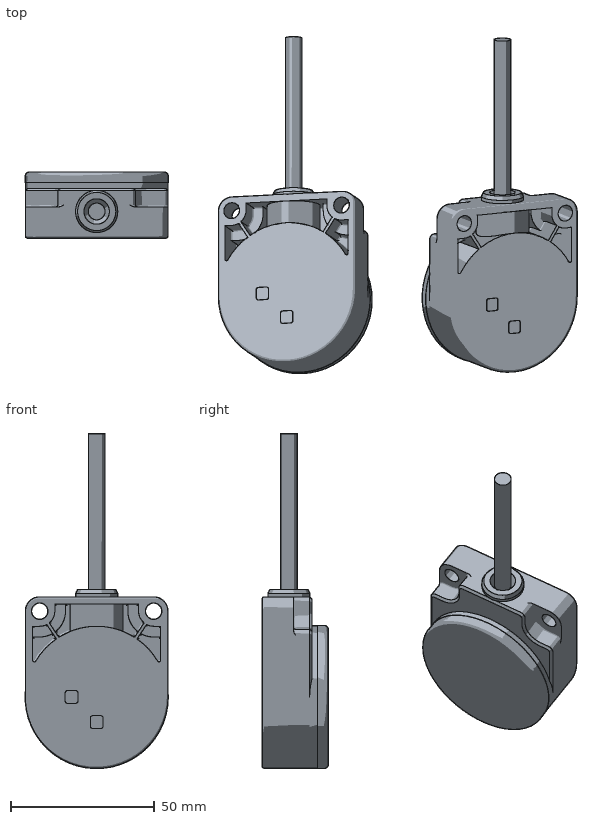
import cadquery as cq
import math

total_height = 116.9
total_depth = 23.1
width = 50.0
body_height = 60.0
body_depth = 17.4
edge_round = 0.8

lid_start = 19.4
lid_radius = width / 2
lid_overhang = 0.1
head_radius = lid_radius - lid_overhang
head_z = lid_radius
lid_edge_round = 1.5

corner_radius = 5.0
hole_x = head_radius - corner_radius
hole_z = body_height - corner_radius
hole_diameter = 5.6

recess_floor = 11.0
recess_radius = 6.3
recess_mouth_round = 2.0
recess_floor_round = 0.6

side_wall = 2.6
hollow_half_width = head_radius - side_wall
hollow_top = body_height - side_wall
hollow_floor = 15.2
hollow_head_radius = 24.7
hollow_bottom = 35.1
hollow_tip_round = 0.6
hollow_round = 0.6
hole_boss_radius = 5.3
recess_wall_radius = 9.0
ledge_depth = 8.8
rib_width = 1.0
socket_radius = 9.2

cable_y = 9.4
cable_radius = 2.9
collar_radius = 7.4
collar_height = 2.6
collar_chamfer_height = 1.4
collar_chamfer_width = 0.7
collar_mouth_radius = 4.4
collar_mouth_depth = 2.3

mark_size = 4.4
mark_corner = 0.8
mark_depth = 0.4
mark_offset = 8.8


def prism(sketch_xz, y_start, y_end):
    """Extrude an XZ outline between two depths."""
    return sketch_xz.extrude(-(y_end - y_start)).translate((0, y_start, 0))


def disc(radius, x, z, y_start, y_end):
    return prism(cq.Workplane("XZ").center(x, z).circle(radius), y_start, y_end)


def block(x_min, x_max, z_min, z_max, y_start, y_end):
    size = (x_max - x_min, y_end - y_start, z_max - z_min)
    return cq.Workplane("XY").box(*size, centered=False).translate((x_min, y_start, z_min))


def corner_block(radius, y_start, y_end):
    """Left top corner zone: everything within a radius of the hole, carried out past both sides."""
    x_out = -2 * head_radius
    z_out = 2 * body_height
    zone = disc(radius, -hole_x, hole_z, y_start, y_end)
    zone = zone.union(block(x_out, -hole_x, hole_z - radius, z_out, y_start, y_end))
    return zone.union(block(x_out, -hole_x + radius, hole_z, z_out, y_start, y_end))


def both_sides(left):
    return left.union(left.mirror("YZ"))


def make_corner_recess():
    """Corner recess whose two mouths flare out to the side and top faces."""
    x_side = -head_radius
    r = recess_mouth_round
    x_inner = -hole_x + recess_radius
    z_lower = hole_z - recess_radius
    outline = (
        cq.Workplane("XZ")
        .moveTo(x_side, z_lower - r)
        .radiusArc((x_side + r, z_lower), r)
        .lineTo(-hole_x, z_lower)
        .radiusArc((x_inner, hole_z), -recess_radius)
        .lineTo(x_inner, body_height - r)
        .radiusArc((x_inner + r, body_height), r)
        .lineTo(x_side, body_height)
        .close()
    )
    recess = prism(outline, recess_floor, body_depth)
    return recess.faces("<Y").edges("not(<X or >Z)").fillet(recess_floor_round)


def make_body():
    outline = (
        cq.Workplane("XZ")
        .moveTo(-head_radius, head_z)
        .threePointArc((0, lid_overhang), (head_radius, head_z))
        .lineTo(head_radius, body_height)
        .lineTo(-head_radius, body_height)
        .close()
    )
    body = prism(outline, 0, body_depth)
    body = body.edges("|Y and >Z").fillet(corner_radius)
    body = body.faces("<Y").edges().fillet(edge_round)
    body = body.cut(both_sides(make_corner_recess()))
    return body.faces(">Y").edges().chamfer(edge_round)


def make_head():
    """Rear of the round head and its slightly larger lid."""
    base = disc(head_radius, 0, head_z, edge_round, lid_start)
    lid = disc(lid_radius, 0, head_z, lid_start, total_depth)
    return base.union(lid.faces(">Y").edges().fillet(lid_edge_round))


def make_rib(depth):
    """Left rib running from the mounting hole towards the head axis."""
    rib_length = math.hypot(hole_x, hole_z - head_z)
    rib_angle = math.degrees(math.atan2(hole_x, hole_z - head_z))
    rib = block(-rib_width / 2, rib_width / 2, 0, rib_length, 0, depth)
    return rib.rotate((0, 0, 0), (0, 1, 0), -rib_angle).translate((0, 0, head_z))


def make_hollow_layer(depth, corner_keep_out):
    """Hollows of one depth that stay outside a radius around the mounting holes."""
    layer = block(-hollow_half_width, hollow_half_width, hollow_bottom, hollow_top, 0, depth)
    layer = layer.cut(disc(hollow_head_radius, 0, head_z, 0, depth))
    layer = layer.cut(both_sides(corner_block(corner_keep_out, 0, depth)))
    layer = layer.cut(both_sides(make_rib(depth)))
    layer = layer.edges("|Y and <Z").fillet(hollow_tip_round)
    return layer.faces(">Y").edges().fillet(hollow_round)


def make_hollows():
    """Deep hollows with a ledge behind which the corner recesses lie, less the cable socket."""
    deep = make_hollow_layer(hollow_floor, recess_wall_radius)
    ledges = make_hollow_layer(ledge_depth, hole_boss_radius)
    socket = cq.Workplane("XY").center(0, cable_y).circle(socket_radius).extrude(body_height)
    return deep.union(ledges).cut(socket)


def make_collar():
    """Chamfered collar whose conical mouth narrows down to the cable."""
    collar_top = body_height + collar_height
    mouth_floor = collar_top - collar_mouth_depth
    profile = (
        cq.Workplane("XZ")
        .moveTo(0, mouth_floor)
        .lineTo(0, hollow_top)
        .lineTo(collar_radius, hollow_top)
        .lineTo(collar_radius, collar_top - collar_chamfer_height)
        .lineTo(collar_radius - collar_chamfer_width, collar_top)
        .lineTo(collar_mouth_radius, collar_top)
        .lineTo(cable_radius, mouth_floor)
        .close()
    )
    return profile.revolve(360, (0, 0, 0), (0, 1, 0)).translate((0, cable_y, 0))


def make_cable():
    cable = cq.Workplane("XY").circle(cable_radius).extrude(total_height - hollow_top)
    return cable.translate((0, cable_y, hollow_top))


def make_mark(x, z):
    mark = block(-mark_size / 2, mark_size / 2, -mark_size / 2, mark_size / 2, 0, mark_depth)
    return mark.edges("|Y").fillet(mark_corner).translate((x, 0, z))


result = make_body().union(make_head()).cut(make_hollows())
result = result.union(make_collar()).union(make_cable())
result = result.cut(both_sides(disc(hole_diameter / 2, -hole_x, hole_z, 0, body_depth)))
for mark_x, mark_z in [(-mark_offset, head_z), (0, head_z - mark_offset)]:
    result = result.cut(make_mark(mark_x, mark_z))